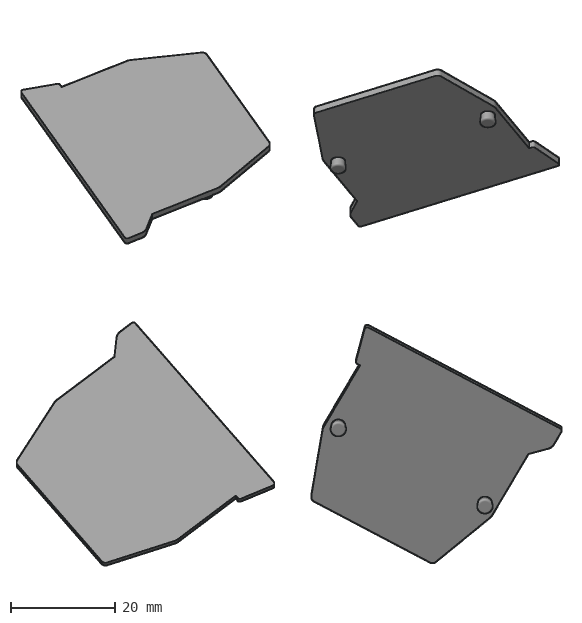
import cadquery as cq
import math

plate_length = 43.15
plate_width = 36.0
plate_thickness = 1.5

body_left = 2.85
body_right = 39.85
foot_width = 7.5
knee_y = 22.1
taper_angle = 20.0
foot_angle = 15.0

top_radius = 1.0
knee_radius = 2.0
foot_radius = 0.5
shoulder_radius = 2.0

peg_left_x = 5.22
peg_right_x = 37.4
peg_y = 20.33
peg_length = 2.0
peg_neck_length = 0.45
peg_neck_radius = 1.4
peg_head_radius = 1.5
peg_tip_round = 0.45


def run(height, angle):
    """Sideways run of an edge leaning by angle degrees over the given height."""
    return height * math.tan(math.radians(angle))


def make_plate():
    taper_run = run(plate_width - knee_y, taper_angle)
    half_corner = math.radians((90 - foot_angle) / 2)
    foot_tip_x = foot_radius - foot_radius / math.tan(half_corner)
    foot_top_x = foot_tip_x + run(foot_width, foot_angle)
    shoulder_y = foot_width - (plate_length - body_right)

    corners = [
        (foot_tip_x, 0, foot_radius),
        (plate_length, 0, foot_radius),
        (plate_length, shoulder_y, shoulder_radius),
        (body_right, foot_width, 0),
        (body_right, knee_y, knee_radius),
        (body_right - taper_run, plate_width, top_radius),
        (body_left + taper_run, plate_width, top_radius),
        (body_left, knee_y, knee_radius),
        (body_left, foot_width, 0),
        (foot_top_x, foot_width, foot_radius),
    ]
    outline = [(x, y) for x, y, _ in corners]
    plate = cq.Workplane("XY").polyline(outline).close().extrude(plate_thickness)
    for x, y, radius in corners:
        if radius > 0:
            corner_point = (x, y, plate_thickness / 2)
            plate = plate.edges(cq.selectors.NearestToPointSelector(corner_point)).fillet(radius)
    return plate


def make_peg(x):
    """Straight neck, flared head and rounded tip, revolved about the peg axis."""
    neck_end = -peg_neck_length
    tip_start = peg_tip_round - peg_length
    tip_radius = peg_head_radius - peg_tip_round
    diagonal = peg_tip_round * math.sin(math.radians(45))
    profile = (
        cq.Workplane("XZ")
        .moveTo(0, 0)
        .lineTo(peg_neck_radius, 0)
        .lineTo(peg_neck_radius, neck_end)
        .lineTo(peg_head_radius, tip_start)
        .threePointArc((tip_radius + diagonal, tip_start - diagonal), (tip_radius, -peg_length))
        .lineTo(0, -peg_length)
        .close()
    )
    return profile.revolve(360, (0, 0, 0), (0, 1, 0)).translate((x, peg_y, 0))


result = make_plate()
for peg_x in (peg_left_x, peg_right_x):
    result = result.union(make_peg(peg_x))